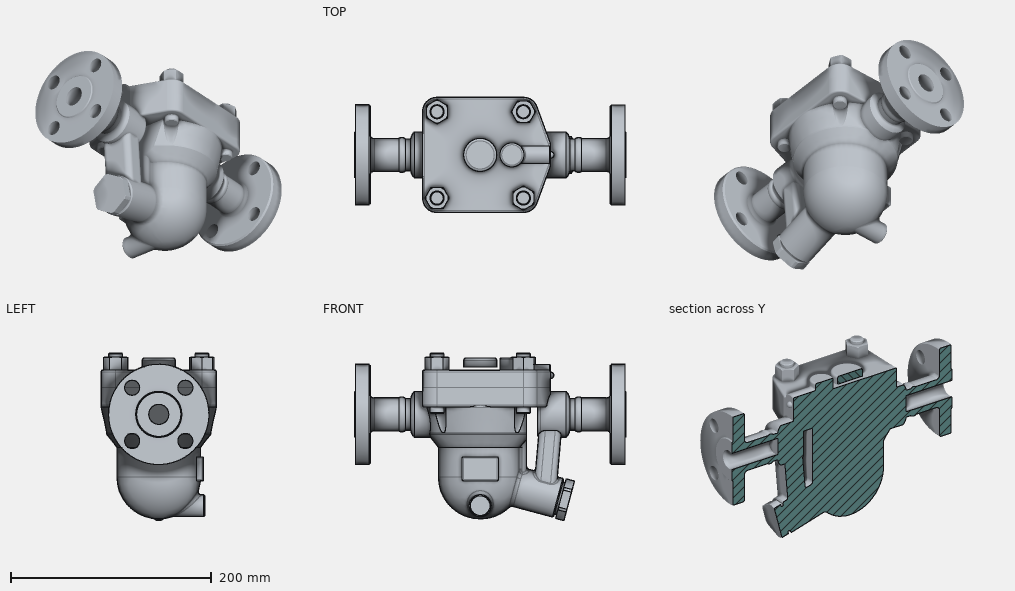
import cadquery as cq
import math


LEFT_END_X = -125.5
RIGHT_END_X = 145.5
FLANGE_DIA = 100.0
FLANGE_THICKNESS = 15.0
FLANGE_CHAMFER = 1.5
RAISED_FACE_DIA = 46.0
RAISED_FACE_TIP_DIA = 44.0
RAISED_FACE_HEIGHT = 1.0
BOLT_CIRCLE_DIA = 75.0
FLANGE_BOLTS = 4
FLANGE_HOLE_DIA = 15.0
BORE_DIA = 20.0
FLARE_DIA = 38.0
FLARE_LENGTH = 4.0
PIPE_DIA = 33.18
PIPE_LENGTH = 24.5
WELD_LENGTH = 6.5
WELD_DIA = 35.0
STUB_DIA = 32.0
STUB_LENGTH = 5.2
NECK_CURVE_LENGTH = 3.8
NECK_DIA = 46.0
ARC_SHARE = 0.29
LEFT_NECK_INNER_X = 0.0
RIGHT_NECK_INNER_X = 57.0
RIGHT_NECK_ROUND = 3.0

PLATE_BOTTOM_Z = 7.2
JOINT_Z = 26.8
COVER_TOP_Z = 44.2
STUDS = 4
STUD_SPACING = 86.0
CORNER_RADIUS = 14.5
PLATE_POINT_X = 70.0
PLATE_SLANT_DEG = 20.0
PLATE_EDGE_ROUND = 2.0

STUD_DIA = 14.0
STUD_TOP_Z = 61.0
STUD_BOTTOM_Z = 1.0
STUD_CHAMFER = 0.8
NUT_FLATS = 21.0
NUT_CORNER_DIA = NUT_FLATS * 2 / math.sqrt(3)
NUT_HEIGHT = 12.8
NUT_CHAMFER = 1.0

DISC_DIA = 33.0
DISC_BOTTOM_Z = 47.0
FITTING_TOP_Z = 56.3
DISC_ROUND = 2.5
VENT_BOSS_DIA = 24.0
VENT_BOSS_X = 31.6
VENT_BOSS_ROUND = 1.8
VENT_BOSS_FILLET = 1.5
VENT_ARM_DIA = 19.0
VENT_ARM_Z = 40.4
VENT_ARM_CHAMFER = 1.0
VENT_TIP_RADIUS = 3.4
VENT_TIP_Z = 38.9

SHOULDER_TOP_RADIUS = 57.5
SHOULDER_TOP_Z = 6.6
SHOULDER_RADIUS = 52.0
SHOULDER_Z = -18.0
SHOULDER_BAND = 1.6
BOWL_RADIUS = 41.8
BOWL_TOP_Z = -32.8
BOWL_CENTRE_Z = -62.4
STUD_GROOVE_RADIUS = 9.0
RIB_FACE_X = 46.3
RIB_WIDTH = 28.0
RIB_ROUND = 4.8
RIB_FILLET = 3.0

PAD_WIDTH = 36.0
PAD_HEIGHT = 24.0
PAD_CENTRE_Z = -54.3
PAD_FACE_Y = -44.5
PAD_ROUND = 1.2
DRAIN_DIA = 22.0
DRAIN_Z = -91.0
DRAIN_FACE_Y = -46.0
DRAIN_CHAMFER = 1.2
DRAIN_FILLET = 3.0

STRAINER_TILT_DEG = 15.0
STRAINER_DIA = 40.0
STRAINER_LENGTH = 81.0
STRAINER_CHAMFER = 1.2
STRAINER_FILLET = 4.8
PLUG_COLLAR_DIA = 33.0
PLUG_START = 83.2
PLUG_END = 91.9
PLUG_FLATS = 37.0
PLUG_CORNER_DIA = 41.0
PLUG_CHAMFER = 0.5

RISER_WIDTH = 22.4
RISER_DEPTH = 33.0
RISER_ROUND = 6.3
RISER_TILT_DEG = 5.0
RISER_TOP_X = 71.2
RISER_TOP_Z = 0.0
RISER_LENGTH = 75.0
RISER_FILLET = 2.0


def chamfered_hex(flats, corner_dia, height, chamfer, both_ends):
    """Hexagonal prism on the XY plane with its corners turned to a diameter and chamfered."""
    hex_dia = flats * 2 / math.sqrt(3)
    ends = "<Z or >Z" if both_ends else ">Z"
    turned = cq.Workplane("XY").circle(corner_dia / 2).extrude(height)
    turned = turned.faces(ends).edges().chamfer(chamfer / 2, chamfer)
    return cq.Workplane("XY").polygon(6, hex_dia).extrude(height).intersect(turned)


def fillet_within(body, low_corner, high_corner, radius):
    """Fillet the edges of the body whose centres lie inside the given box."""
    return body.edges(cq.selectors.BoxSelector(low_corner, high_corner)).fillet(radius)


def pipe_end(length):
    """Flanged pipe end of the given length along +X, with its raised face on the plane X = 0."""
    x_flange = RAISED_FACE_HEIGHT
    x_back = x_flange + FLANGE_THICKNESS
    x_pipe = x_back + FLARE_LENGTH
    x_weld = x_pipe + PIPE_LENGTH
    x_stub = x_weld + WELD_LENGTH
    x_curve = x_stub + STUB_LENGTH
    x_neck = x_curve + NECK_CURVE_LENGTH
    pipe_r = PIPE_DIA / 2
    flare_r = FLARE_DIA / 2
    flare_mid = (x_back + FLARE_LENGTH * ARC_SHARE, pipe_r + (flare_r - pipe_r) * ARC_SHARE)
    neck_r = NECK_DIA / 2
    neck_mid_r = (STUB_DIA / 2 + neck_r) / 2
    end = (
        cq.Workplane("XY")
        .lineTo(0, RAISED_FACE_TIP_DIA / 2)
        .lineTo(x_flange, RAISED_FACE_DIA / 2)
        .lineTo(x_flange, FLANGE_DIA / 2)
        .lineTo(x_back - FLANGE_CHAMFER, FLANGE_DIA / 2)
        .lineTo(x_back, FLANGE_DIA / 2 - FLANGE_CHAMFER)
        .lineTo(x_back, flare_r)
        .threePointArc(flare_mid, (x_pipe, pipe_r))
        .lineTo(x_weld, pipe_r)
        .threePointArc((x_weld + WELD_LENGTH / 2, WELD_DIA / 2), (x_stub, STUB_DIA / 2))
        .lineTo(x_curve, STUB_DIA / 2)
        .threePointArc((x_curve + NECK_CURVE_LENGTH * ARC_SHARE, neck_mid_r), (x_neck, neck_r))
        .lineTo(length, neck_r)
        .lineTo(length, 0)
        .close()
        .revolve(360, (0, 0, 0), (1, 0, 0))
    )
    holes = (
        cq.Workplane("YZ")
        .polarArray(BOLT_CIRCLE_DIA / 2, 360 / FLANGE_BOLTS / 2, 360, FLANGE_BOLTS)
        .circle(FLANGE_HOLE_DIA / 2)
        .extrude(x_back)
    )
    bore = cq.Workplane("YZ").circle(BORE_DIA / 2).extrude(x_curve)
    return end.cut(holes).cut(bore)


def inlet():
    end = pipe_end(LEFT_NECK_INNER_X - LEFT_END_X)
    return end.translate((LEFT_END_X, 0, 0))


def outlet():
    end = pipe_end(RIGHT_END_X - RIGHT_NECK_INNER_X)
    end = end.faces(">X").edges().fillet(RIGHT_NECK_ROUND)
    return end.rotate((0, 0, 0), (0, 0, 1), 180).translate((RIGHT_END_X, 0, 0))


def plate(bottom_z, top_z):
    """Plate with rounded corners and a blunt point toward +X."""
    stud = STUD_SPACING / 2
    side = stud + CORNER_RADIUS
    slant = math.radians(PLATE_SLANT_DEG)
    tangent_x = stud + CORNER_RADIUS * math.cos(slant)
    tangent_y = stud + CORNER_RADIUS * math.sin(slant)
    point_y = tangent_y - (PLATE_POINT_X - tangent_x) / math.tan(slant)
    half_turn = (math.pi / 2 + slant) / 2
    right_mid = (stud + CORNER_RADIUS * math.cos(half_turn), stud + CORNER_RADIUS * math.sin(half_turn))
    left_mid = stud + CORNER_RADIUS * math.sqrt(0.5)
    return (
        cq.Workplane("XY", origin=(0, 0, bottom_z))
        .moveTo(PLATE_POINT_X, -point_y)
        .lineTo(PLATE_POINT_X, point_y)
        .lineTo(tangent_x, tangent_y)
        .threePointArc(right_mid, (stud, side))
        .lineTo(-stud, side)
        .threePointArc((-left_mid, left_mid), (-side, stud))
        .lineTo(-side, -stud)
        .threePointArc((-left_mid, -left_mid), (-stud, -side))
        .lineTo(stud, -side)
        .threePointArc((right_mid[0], -right_mid[1]), (tangent_x, -tangent_y))
        .close()
        .extrude(top_z - bottom_z)
    )


def cover():
    block = plate(JOINT_Z, COVER_TOP_Z).faces(">Z").edges().fillet(PLATE_EDGE_ROUND)
    boss = (
        cq.Workplane("XY", origin=(VENT_BOSS_X, 0, JOINT_Z))
        .circle(VENT_BOSS_DIA / 2)
        .extrude(FITTING_TOP_Z - JOINT_Z)
        .faces(">Z")
        .edges()
        .fillet(VENT_BOSS_ROUND)
    )
    arm = (
        cq.Workplane("YZ", origin=(VENT_BOSS_X, 0, VENT_ARM_Z))
        .circle(VENT_ARM_DIA / 2)
        .extrude(PLATE_POINT_X - VENT_BOSS_X)
        .faces(">X")
        .edges()
        .chamfer(VENT_ARM_CHAMFER)
    )
    tip = cq.Workplane("XY").sphere(VENT_TIP_RADIUS).translate((PLATE_POINT_X, 0, VENT_TIP_Z))
    boss_edge_x = VENT_BOSS_X + VENT_BOSS_DIA / 2
    vent = fillet_within(
        boss.union(arm),
        (VENT_BOSS_X, -VENT_ARM_DIA / 2, VENT_ARM_Z - VENT_ARM_DIA),
        (boss_edge_x + 1, VENT_ARM_DIA / 2, VENT_ARM_Z + VENT_ARM_DIA / 2 + 1),
        VENT_BOSS_FILLET,
    )
    return block.union(vent).union(tip)


def stud_and_nut():
    stud = (
        cq.Workplane("XY", origin=(0, 0, STUD_BOTTOM_Z))
        .circle(STUD_DIA / 2)
        .extrude(STUD_TOP_Z - STUD_BOTTOM_Z)
        .faces("<Z or >Z")
        .edges()
        .chamfer(STUD_CHAMFER)
    )
    nut = chamfered_hex(NUT_FLATS, NUT_CORNER_DIA, NUT_HEIGHT, NUT_CHAMFER, both_ends=False)
    nut = nut.translate((0, 0, COVER_TOP_Z))
    return stud.union(nut).translate((STUD_SPACING / 2, STUD_SPACING / 2, 0))


def shoulder():
    """Tapered top of the bowl, cut flat toward +X and grooved below the studs."""
    band_z = SHOULDER_Z - SHOULDER_BAND
    body = (
        cq.Workplane("XZ")
        .moveTo(0, PLATE_BOTTOM_Z + PLATE_EDGE_ROUND)
        .lineTo(SHOULDER_TOP_RADIUS, PLATE_BOTTOM_Z + PLATE_EDGE_ROUND)
        .lineTo(SHOULDER_TOP_RADIUS, SHOULDER_TOP_Z)
        .lineTo(SHOULDER_RADIUS, SHOULDER_Z)
        .lineTo(SHOULDER_RADIUS, band_z)
        .lineTo(BOWL_RADIUS, BOWL_TOP_Z)
        .lineTo(0, BOWL_TOP_Z)
        .close()
        .revolve(360, (0, 0, 0), (0, 1, 0))
    )
    grooves = (
        cq.Workplane("XY", origin=(0, 0, SHOULDER_Z))
        .rect(STUD_SPACING, STUD_SPACING, forConstruction=True)
        .vertices()
        .circle(STUD_GROOVE_RADIUS)
        .extrude(PLATE_BOTTOM_Z - SHOULDER_Z)
    )
    size = 4 * SHOULDER_TOP_RADIUS
    beyond_flat = cq.Workplane("XY").box(size, size, size).translate((RIB_FACE_X + size / 2, 0, 0))
    return body.cut(grooves).cut(beyond_flat)


def strainer_plane(distance):
    """Plane across the strainer axis, the given distance from the bowl centre."""
    tilt = math.radians(STRAINER_TILT_DEG)
    axis = (math.cos(tilt), 0, -math.sin(tilt))
    origin = (distance * axis[0], 0, BOWL_CENTRE_Z + distance * axis[2])
    return cq.Plane(origin=origin, xDir=(math.sin(tilt), 0, math.cos(tilt)), normal=axis)


def bowl_with_strainer():
    bowl = (
        cq.Workplane("XZ")
        .moveTo(0, BOWL_TOP_Z)
        .lineTo(BOWL_RADIUS, BOWL_TOP_Z)
        .lineTo(BOWL_RADIUS, BOWL_CENTRE_Z)
        .radiusArc((0, BOWL_CENTRE_Z - BOWL_RADIUS), BOWL_RADIUS)
        .close()
        .revolve(360, (0, 0, 0), (0, 1, 0))
    )
    branch = (
        cq.Workplane(strainer_plane(0))
        .circle(STRAINER_DIA / 2)
        .extrude(STRAINER_LENGTH)
        .faces(">X")
        .edges()
        .chamfer(STRAINER_CHAMFER)
    )
    body = fillet_within(
        bowl.union(branch),
        (BOWL_RADIUS / 2, -BOWL_RADIUS, BOWL_CENTRE_Z - BOWL_RADIUS),
        (BOWL_RADIUS + 1, BOWL_RADIUS, BOWL_TOP_Z - 1),
        STRAINER_FILLET,
    )
    body = fillet_within(
        body.union(drain_boss()),
        (-DRAIN_DIA, -BOWL_RADIUS - 1, DRAIN_Z - DRAIN_DIA),
        (DRAIN_DIA, -DRAIN_DIA, DRAIN_Z + DRAIN_DIA),
        DRAIN_FILLET,
    )
    body = fillet_within(
        body.union(rib()),
        (RIB_FACE_X - RIB_ROUND, -RIB_WIDTH / 2, BOWL_CENTRE_Z),
        (RIB_FACE_X + 1, RIB_WIDTH / 2, BOWL_CENTRE_Z + RIB_WIDTH / 3),
        RIB_FILLET,
    )
    return fillet_within(
        body.union(riser()),
        (RIB_FACE_X, -STRAINER_DIA / 2, BOWL_CENTRE_Z - STRAINER_DIA / 2),
        (RISER_TOP_X + RISER_WIDTH / 2, STRAINER_DIA / 2, BOWL_CENTRE_Z + STRAINER_DIA / 2),
        RISER_FILLET,
    )


def strainer_plug():
    collar = cq.Workplane(strainer_plane(STRAINER_LENGTH)).circle(PLUG_COLLAR_DIA / 2)
    collar = collar.extrude(PLUG_START - STRAINER_LENGTH)
    head = chamfered_hex(PLUG_FLATS, PLUG_CORNER_DIA, PLUG_END - PLUG_START, PLUG_CHAMFER, both_ends=True)
    head = head.val().moved(cq.Location(strainer_plane(PLUG_START)))
    return collar.union(cq.Workplane(head))


def rib():
    """Vertical rib between the plate and the strainer, on the +X side of the bowl."""
    top_z = PLATE_BOTTOM_Z + PLATE_EDGE_ROUND
    return (
        cq.Workplane("XY", origin=(RIB_FACE_X / 2, 0, BOWL_CENTRE_Z))
        .rect(RIB_FACE_X, RIB_WIDTH)
        .extrude(top_z - BOWL_CENTRE_Z)
        .edges("|Z")
        .fillet(RIB_ROUND)
    )


def riser():
    post = cq.Workplane("XY").rect(RISER_WIDTH, RISER_DEPTH).extrude(-RISER_LENGTH)
    post = post.edges("|Z").fillet(RISER_ROUND)
    post = post.rotate((0, 0, 0), (0, 1, 0), RISER_TILT_DEG)
    return post.translate((RISER_TOP_X, 0, RISER_TOP_Z))


def nameplate_pad():
    return (
        cq.Workplane("XZ", origin=(0, 0, PAD_CENTRE_Z))
        .rect(PAD_WIDTH, PAD_HEIGHT)
        .extrude(-PAD_FACE_Y)
        .edges("|Y")
        .fillet(PAD_ROUND)
        .faces("<Y")
        .edges()
        .fillet(PAD_ROUND)
    )


def drain_boss():
    return (
        cq.Workplane("XZ", origin=(0, 0, DRAIN_Z))
        .circle(DRAIN_DIA / 2)
        .extrude(-DRAIN_FACE_Y)
        .faces("<Y")
        .edges()
        .chamfer(DRAIN_CHAMFER)
    )


def trap():
    """Whole valve body: housing, cover, studs and pipe ends as one solid."""
    body = plate(PLATE_BOTTOM_Z, JOINT_Z).faces("<Z").edges().fillet(PLATE_EDGE_ROUND)
    body = body.union(shoulder()).union(bowl_with_strainer()).union(strainer_plug())
    body = body.union(nameplate_pad()).union(inlet()).union(outlet())
    body = body.union(cover(), clean=False)
    for corner in range(STUDS):
        fastener = stud_and_nut().rotate((0, 0, 0), (0, 0, 1), 360 / STUDS * corner)
        body = body.union(fastener, clean=False)
    return body


def centre_disc():
    """Loose disc above the middle of the cover."""
    return (
        cq.Workplane("XY", origin=(0, 0, DISC_BOTTOM_Z))
        .circle(DISC_DIA / 2)
        .extrude(FITTING_TOP_Z - DISC_BOTTOM_Z)
        .faces(">Z")
        .edges()
        .fillet(DISC_ROUND)
    )


valve = trap()
disc = centre_disc()
result = cq.Compound.makeCompound([valve.val(), disc.val()])